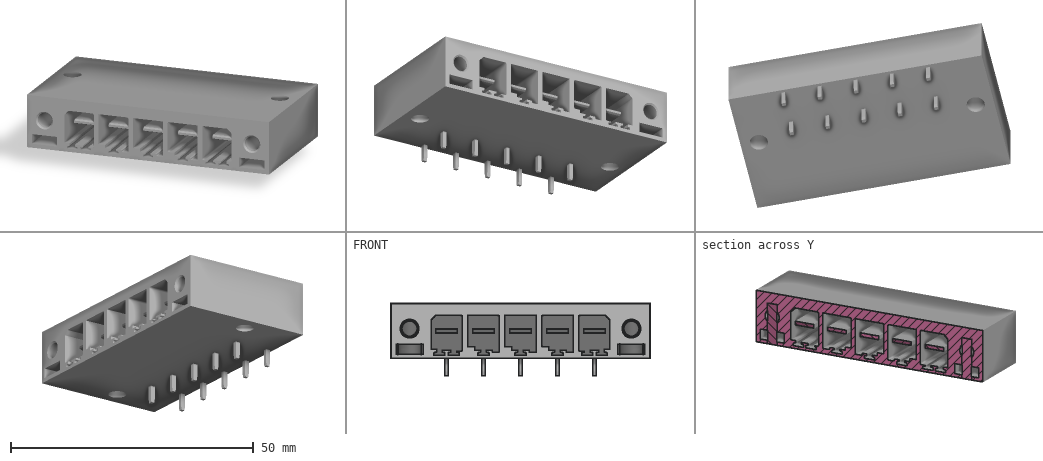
import cadquery as cq

HOUSING_WIDTH = 53.35
HOUSING_DEPTH = 28.3
HOUSING_HEIGHT = 11.3

SOCKET_COUNT = 5
END_CONTACT_SPACING = 30.45
PITCH = END_CONTACT_SPACING / (SOCKET_COUNT - 1)
SOCKET_CENTRES_X = [(i - (SOCKET_COUNT - 1) / 2) * PITCH for i in range(SOCKET_COUNT)]
SOCKET_WIDTH = 6.55
SOCKET_HALF_WIDTH = SOCKET_WIDTH / 2
SOCKET_TOP = 8.85
SOCKET_DEPTH = 17.05
SOCKET_FILLET = 0.3
OUTER_CHAMFER = 0.9

GROOVE_BOTTOM = 0.7
GROOVE_LEDGE = 1.25
GROOVE_WIDTH = 2.3
GROOVE_HALF_WIDTH = GROOVE_WIDTH / 2
GROOVE_NECK_HALF_WIDTH = 0.6
GROOVE_FILLET = 0.2
KEY_FLOOR = 1.7

MIDDLE_STEP_HALF_WIDTH = 1.8
MIDDLE_LEFT_FLOOR = 2.4
MIDDLE_RIGHT_FLOOR = 1.25
MIDDLE_RIGHT_STEP_FILLET = 0.2

END_GROOVE_SPACING = 2.95
END_GROOVE_OFFSET = END_GROOVE_SPACING / 2
END_OUTER_HALF_WIDTH = 3.15
END_OUTER_FLOOR = 1.85
END_INNER_FLOOR = 1.5

BLADE_WIDTH = 4.45
BLADE_THICKNESS = 0.9
BLADE_TOP = 6.1
BLADE_CENTRE_Z = BLADE_TOP - BLADE_THICKNESS / 2
BLADE_TIP_Y = 3.05
BLADE_TIP_CHAMFER_Z = 0.2
BLADE_TIP_CHAMFER_Y = 0.55
LEG_WIDTH = 0.8
LEG_DEPTH = 1.0
REAR_LEG_MARGIN = 0.6
LEG_LENGTH = 3.6
LEG_TIP_LENGTH = 0.85
LEG_TIP_INSET = 0.15
REAR_LEG_Y = HOUSING_DEPTH - REAR_LEG_MARGIN - LEG_DEPTH / 2
LEG_CENTRES_Y = [REAR_LEG_Y - PITCH, REAR_LEG_Y]

FLANGE_X = PITCH * (SOCKET_COUNT + 1) / 2
FLANGE_CENTRES_X = [-FLANGE_X, FLANGE_X]
FLANGE_HOLE_DIAMETER = 3.15
FLANGE_HOLE_CHAMFER = 0.3
FLANGE_HOLE_Z = 6.15
POCKET_WIDTH = 5.55
POCKET_BOTTOM = 0.85
POCKET_TOP = 2.95
POCKET_DEPTH = SOCKET_DEPTH
BUSHING_DIAMETER = 4.85
BUSHING_BORE = 3.75
BUSHING_Y = 16.3
BUSHING_HEIGHT = SOCKET_TOP


def extrude_back(outline, depth):
    """Extrude an X-Z outline in the +Y direction."""
    return cq.Workplane("XZ").polyline(outline).close().extrude(-depth)


def groove_points(centre_x, left_floor, right_floor):
    """Left-to-right points of one undercut groove that opens upward."""
    neck_left = centre_x - GROOVE_NECK_HALF_WIDTH
    neck_right = centre_x + GROOVE_NECK_HALF_WIDTH
    left = centre_x - GROOVE_HALF_WIDTH
    right = centre_x + GROOVE_HALF_WIDTH
    return [
        (neck_left, left_floor),
        (neck_left, GROOVE_LEDGE),
        (left, GROOVE_LEDGE),
        (left, GROOVE_BOTTOM),
        (right, GROOVE_BOTTOM),
        (right, GROOVE_LEDGE),
        (neck_right, GROOVE_LEDGE),
        (neck_right, right_floor),
    ]


def round_corners(socket, corners, radius):
    """Fillet the Y-direction edges of a socket that run through the given (X, Z) corners."""
    margin = 0.005
    for x, z in corners:
        corner_box = cq.selectors.BoxSelector(
            (x - margin, 0, z - margin), (x + margin, SOCKET_DEPTH, z + margin)
        )
        socket = socket.edges("|Y").edges(corner_box).fillet(radius)
    return socket


def round_groove_ledges(socket, centre_x):
    """Round the neck and outer corners of the ledges over one groove."""
    corners = [
        (centre_x + side * half_width, GROOVE_LEDGE)
        for side in (-1, 1)
        for half_width in (GROOVE_NECK_HALF_WIDTH, GROOVE_HALF_WIDTH)
    ]
    return round_corners(socket, corners, GROOVE_FILLET)


def middle_socket(rounded_side):
    """Socket with one groove; rounded_side is -1, 0 or 1 for left, none or right."""
    outline = [
        (-SOCKET_HALF_WIDTH, SOCKET_TOP),
        (-SOCKET_HALF_WIDTH, MIDDLE_LEFT_FLOOR),
        (-MIDDLE_STEP_HALF_WIDTH, MIDDLE_LEFT_FLOOR),
        (-MIDDLE_STEP_HALF_WIDTH, KEY_FLOOR),
        *groove_points(0, KEY_FLOOR, KEY_FLOOR),
        (MIDDLE_STEP_HALF_WIDTH, KEY_FLOOR),
        (MIDDLE_STEP_HALF_WIDTH, MIDDLE_RIGHT_FLOOR),
        (SOCKET_HALF_WIDTH, MIDDLE_RIGHT_FLOOR),
        (SOCKET_HALF_WIDTH, SOCKET_TOP),
    ]
    socket = round_groove_ledges(extrude_back(outline, SOCKET_DEPTH), 0)
    step_corners = [(MIDDLE_STEP_HALF_WIDTH, floor_z) for floor_z in (KEY_FLOOR, MIDDLE_RIGHT_FLOOR)]
    socket = round_corners(socket, step_corners, MIDDLE_RIGHT_STEP_FILLET)
    if rounded_side:
        wall_x = rounded_side * SOCKET_HALF_WIDTH
        floor_z = MIDDLE_LEFT_FLOOR if rounded_side < 0 else MIDDLE_RIGHT_FLOOR
        wall_corners = [(wall_x, floor_z), (wall_x, SOCKET_TOP)]
        socket = round_corners(socket, wall_corners, SOCKET_FILLET)
    return socket


def left_end_socket():
    """Socket with two grooves, a chamfered outer top corner and rounded inner corners."""
    outline = [
        (-END_OUTER_HALF_WIDTH, SOCKET_TOP - OUTER_CHAMFER),
        (-END_OUTER_HALF_WIDTH, END_OUTER_FLOOR),
        *groove_points(-END_GROOVE_OFFSET, END_OUTER_FLOOR, KEY_FLOOR),
        *groove_points(END_GROOVE_OFFSET, KEY_FLOOR, END_INNER_FLOOR),
        (SOCKET_HALF_WIDTH, END_INNER_FLOOR),
        (SOCKET_HALF_WIDTH, SOCKET_TOP),
        (-END_OUTER_HALF_WIDTH + OUTER_CHAMFER, SOCKET_TOP),
    ]
    socket = extrude_back(outline, SOCKET_DEPTH)
    for centre_x in (-END_GROOVE_OFFSET, END_GROOVE_OFFSET):
        socket = round_groove_ledges(socket, centre_x)
    wall_corners = [(SOCKET_HALF_WIDTH, END_INNER_FLOOR), (SOCKET_HALF_WIDTH, SOCKET_TOP)]
    return round_corners(socket, wall_corners, SOCKET_FILLET)


def make_bushing(centre_x):
    """Vertical tube from the underside of the housing up to its roof."""
    return (
        cq.Workplane("XY", origin=(centre_x, BUSHING_Y, 0))
        .circle(BUSHING_DIAMETER / 2)
        .circle(BUSHING_BORE / 2)
        .extrude(BUSHING_HEIGHT)
    )


def make_contact(centre_x):
    """Blade with a bevelled tip, joined to two legs with tapered ends."""
    blade_end_y = REAR_LEG_Y + LEG_DEPTH / 2
    half_thickness = BLADE_THICKNESS / 2
    tip_half_thickness = half_thickness - BLADE_TIP_CHAMFER_Z
    bevel_end_y = BLADE_TIP_Y + BLADE_TIP_CHAMFER_Y
    contact = (
        cq.Workplane("YZ", origin=(centre_x, 0, BLADE_CENTRE_Z))
        .polyline([
            (BLADE_TIP_Y, -tip_half_thickness),
            (bevel_end_y, -half_thickness),
            (blade_end_y, -half_thickness),
            (blade_end_y, half_thickness),
            (bevel_end_y, half_thickness),
            (BLADE_TIP_Y, tip_half_thickness),
        ])
        .close()
        .extrude(BLADE_WIDTH / 2, both=True)
    )
    for leg_y in LEG_CENTRES_Y:
        contact = contact.union(make_leg(centre_x, leg_y))
    return contact


def make_leg(centre_x, centre_y):
    """Solder leg, tapered in Y at its lower end."""
    half_depth = LEG_DEPTH / 2
    tip_half_depth = half_depth - LEG_TIP_INSET
    taper_z = -LEG_LENGTH + LEG_TIP_LENGTH
    return (
        cq.Workplane("YZ", origin=(centre_x, centre_y, 0))
        .polyline([
            (-half_depth, BLADE_CENTRE_Z),
            (-half_depth, taper_z),
            (-tip_half_depth, -LEG_LENGTH),
            (tip_half_depth, -LEG_LENGTH),
            (half_depth, taper_z),
            (half_depth, BLADE_CENTRE_Z),
        ])
        .close()
        .extrude(LEG_WIDTH / 2, both=True)
    )


def cut_flange(body, centre_x):
    """Cut the front screw hole, the front pocket, the bushing seat and the roof hole."""
    screw_hole = (
        cq.Workplane("XZ", origin=(centre_x, 0, FLANGE_HOLE_Z))
        .circle(FLANGE_HOLE_DIAMETER / 2)
        .extrude(-BUSHING_Y)
    )
    countersink = cq.Workplane(cq.Solid.makeCone(
        FLANGE_HOLE_DIAMETER / 2 + FLANGE_HOLE_CHAMFER,
        FLANGE_HOLE_DIAMETER / 2,
        FLANGE_HOLE_CHAMFER,
        pnt=cq.Vector(centre_x, 0, FLANGE_HOLE_Z),
        dir=cq.Vector(0, 1, 0),
    ))
    pocket = cq.Workplane("XY").box(
        POCKET_WIDTH, POCKET_DEPTH, POCKET_TOP - POCKET_BOTTOM, centered=(True, False, False)
    ).translate((centre_x, 0, POCKET_BOTTOM))
    bushing_axis = cq.Workplane("XY", origin=(centre_x, BUSHING_Y, 0))
    bushing_seat = bushing_axis.circle(BUSHING_DIAMETER / 2).extrude(BUSHING_HEIGHT)
    roof_hole = bushing_axis.circle(BUSHING_BORE / 2).extrude(HOUSING_HEIGHT)
    for cutter in (screw_hole, countersink, pocket, bushing_seat, roof_hole):
        body = body.cut(cutter)
    return body


def make_housing(contacts):
    """Block with five sockets, two flanges and a fitting opening for every contact."""
    body = cq.Workplane("XY", origin=(0, HOUSING_DEPTH / 2, 0)).box(
        HOUSING_WIDTH, HOUSING_DEPTH, HOUSING_HEIGHT, centered=(True, True, False)
    )
    left_end = left_end_socket()
    sockets = [
        left_end,
        middle_socket(1),
        middle_socket(0),
        middle_socket(-1),
        left_end.mirror("YZ"),
    ]
    for socket, centre_x in zip(sockets, SOCKET_CENTRES_X):
        body = body.cut(socket.translate((centre_x, 0, 0)))
    for centre_x in FLANGE_CENTRES_X:
        body = cut_flange(body, centre_x)
    for contact in contacts:
        body = body.cut(contact)
    return body


contacts = [make_contact(centre_x) for centre_x in SOCKET_CENTRES_X]
bushings = [make_bushing(centre_x) for centre_x in FLANGE_CENTRES_X]
housing = make_housing(contacts)

result = cq.Compound.makeCompound(
    [housing.val()]
    + [contact.val() for contact in contacts]
    + [bushing.val() for bushing in bushings]
)